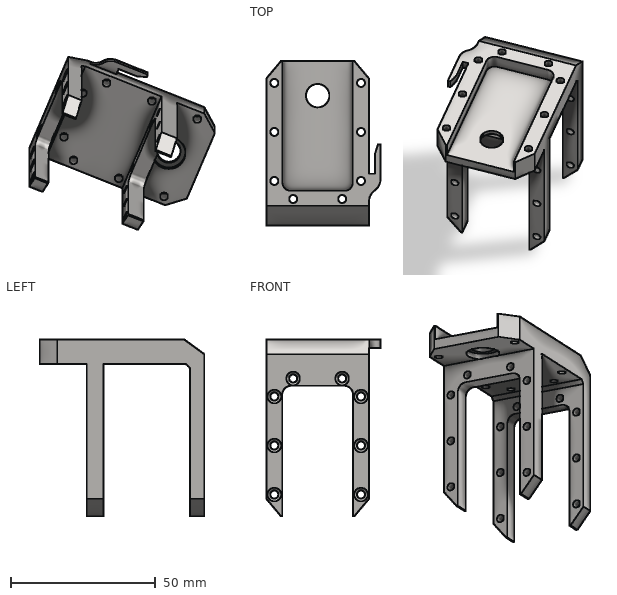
import cadquery as cq
import math

body_width = 35.55
body_length = 57.0
height = 61.2
plate_thickness = 8.55
rail_width = 5.55
inner_radius = 3.0

front_leg_thickness = 5.0
rear_leg_start = 34.9
rear_leg_thickness = 5.8
opening_drop = 16.1
tip_chamfer_width = 5.1
tip_chamfer_length = 6.05

bevel_length = 7.0
bevel_drop = 5.1
inner_chamfer = 1.35

pocket_depth = 5.0
pocket_start = 12.05
bore_diameter = 8.0
bore_y = 45.0
bore_recess_diameter = 11.4
bore_recess_depth = 2.0

hole_diameter = 2.7
countersink_diameter = 4.7
countersink_angle = 90
hole_pitch = 16.95
rail_hole_x = (body_width - rail_width) / 2
top_rail_first_y = 15.5
top_cross_hole_y = 9.25
leg_first_drop = 19.75
cross_hole_drop = 13.5

hook_height = 3.0
hook_reach = 4.05
hook_arm_width = 2.0
hook_slot_y = 18.05
hook_taper_y = 24.9
hook_end_y = 28.15
hook_tip_width = 1.0
hook_bend_y = 12.25
hook_bend_radius = 5.0

half_width = body_width / 2
opening_width = body_width - 2 * rail_width
plate_bottom = height - plate_thickness


def chamfered_strip(length):
    """Rectangle from 0 to length, with both corners cut off at the far end."""
    shoulder = length - tip_chamfer_length
    tip = half_width - tip_chamfer_width
    return [
        (-half_width, 0),
        (half_width, 0),
        (half_width, shoulder),
        (tip, length),
        (-tip, length),
        (-half_width, shoulder),
    ]


def screw_positions(rail_first, cross_position):
    """Three holes along each rail plus two across the joining strip."""
    points = []
    for side in (-1, 1):
        points.append((side * hole_pitch / 2, cross_position))
        for index in range(3):
            points.append((side * rail_hole_x, rail_first + index * hole_pitch))
    return points


def make_frame():
    side_profile = (
        cq.Workplane("YZ")
        .polyline([
            (0, 0),
            (0, height - bevel_drop),
            (bevel_length, height),
            (body_length, height),
            (body_length, plate_bottom),
            (rear_leg_start + rear_leg_thickness, plate_bottom),
            (rear_leg_start + rear_leg_thickness, 0),
            (rear_leg_start, 0),
            (rear_leg_start, plate_bottom),
            (front_leg_thickness + inner_chamfer, plate_bottom),
            (front_leg_thickness, plate_bottom - inner_chamfer),
            (front_leg_thickness, 0),
        ])
        .close()
        .extrude(half_width, both=True)
    )
    plan_outline = (
        cq.Workplane("XY").polyline(chamfered_strip(body_length)).close().extrude(height)
    )
    leg_points = [(x, height - drop) for x, drop in chamfered_strip(height)]
    leg_outline = cq.Workplane("XZ").polyline(leg_points).close().extrude(-body_length)
    return side_profile.intersect(plan_outline).intersect(leg_outline)


def make_leg_opening():
    opening_height = height - opening_drop
    return (
        cq.Workplane("XY")
        .box(opening_width, body_length, opening_height, centered=(True, False, False))
        .edges("|Y and >Z")
        .fillet(inner_radius)
    )


def make_tray_pocket():
    return (
        cq.Workplane("XY", origin=(0, pocket_start, height - pocket_depth))
        .box(opening_width, body_length - pocket_start, pocket_depth, centered=(True, False, False))
        .edges("|Z and <Y")
        .fillet(inner_radius)
    )


def make_bore():
    through = (
        cq.Workplane("XY", origin=(0, bore_y, plate_bottom))
        .circle(bore_diameter / 2)
        .extrude(plate_thickness)
    )
    recess = (
        cq.Workplane("XY", origin=(0, bore_y, plate_bottom))
        .circle(bore_recess_diameter / 2)
        .extrude(bore_recess_depth)
    )
    return through.union(recess)


def make_hook():
    outer_x = half_width + hook_reach
    arm_x = outer_x - hook_arm_width
    root_x = half_width - rail_width / 2

    middle_x = half_width + hook_reach / 2
    bend_angle = math.acos(1 - hook_reach / 2 / hook_bend_radius)
    bend_height = hook_bend_radius * math.sin(bend_angle)
    half_sag = hook_bend_radius * (1 - math.cos(bend_angle / 2))
    half_rise = hook_bend_radius * math.sin(bend_angle / 2)
    upper_y = hook_bend_y + bend_height
    lower_y = hook_bend_y - bend_height
    return (
        cq.Workplane("XY", origin=(0, 0, height - hook_height))
        .moveTo(root_x, hook_slot_y)
        .lineTo(arm_x, hook_slot_y)
        .lineTo(arm_x, hook_taper_y)
        .lineTo(outer_x - hook_tip_width, hook_end_y)
        .lineTo(outer_x, hook_end_y)
        .lineTo(outer_x, upper_y)
        .threePointArc((outer_x - half_sag, upper_y - half_rise), (middle_x, hook_bend_y))
        .threePointArc((half_width + half_sag, lower_y + half_rise), (half_width, lower_y))
        .lineTo(root_x, lower_y)
        .close()
        .extrude(hook_height)
    )


def make_top_holes():
    return (
        cq.Workplane("XY", origin=(0, 0, plate_bottom))
        .pushPoints(screw_positions(top_rail_first_y, top_cross_hole_y))
        .circle(hole_diameter / 2)
        .extrude(plate_thickness)
    )


def drill_leg_holes(part):
    points = [(x, height - drop) for x, drop in screw_positions(leg_first_drop, cross_hole_drop)]
    return (
        part.copyWorkplane(cq.Workplane("XZ"))
        .pushPoints(points)
        .cskHole(hole_diameter, countersink_diameter, countersink_angle)
    )


result = make_frame().cut(make_leg_opening()).cut(make_tray_pocket()).cut(make_bore())
result = result.union(make_hook()).cut(make_top_holes())
result = drill_leg_holes(result)